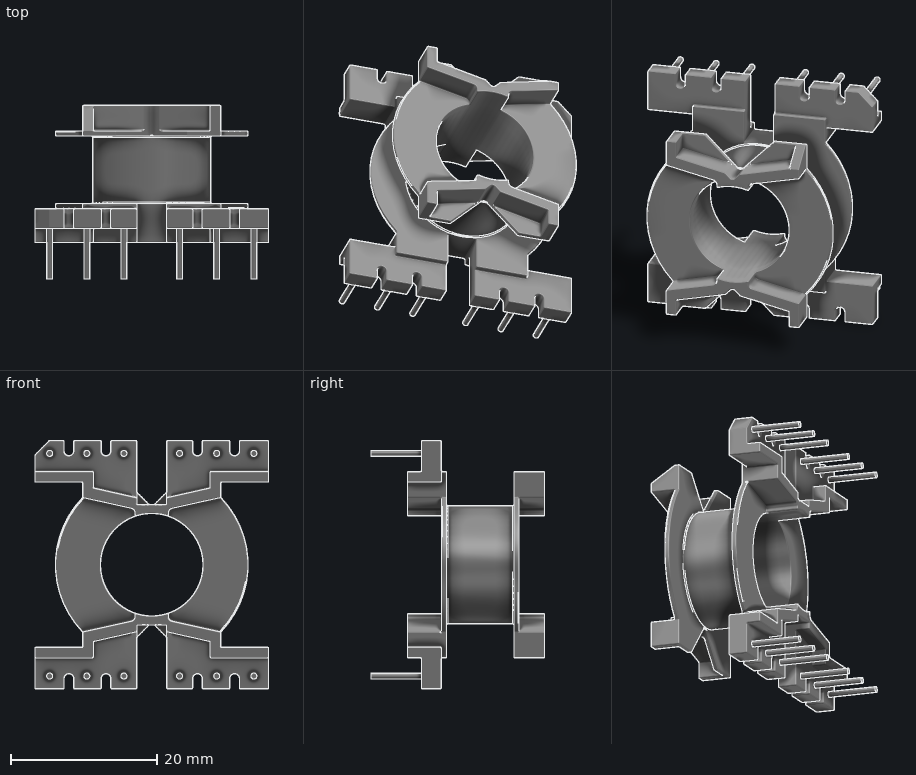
import cadquery as cq
import math


half_width = 15.997
half_height = 17.0
bore_radius = 7.0
barrel_radius = 8.1
winding_length = 9.2
flange_radius = 13.2
flange_thickness = 0.7
edge_round = 0.17

arm_half_width = 9.45
arm_top = 12.75
arm_wall = 1.45
arm_root = 2.28
arm_root_round = 0.68
arm_low_inner = 7.6
arm_floor_outer = 10.5
arm_floor_centre = 8.7
back_arm_depth = 3.5
front_arm_depth = 4.65

gap_half_width = 2.05
gap_floor = 8.23
rail_bottom = 11.3
rail_depth = 2.72
rail_corner_chamfer = 2.0

pin_radius = 0.4
pin_length = 6.95
pin_height = 15.23
pin_pitch = 5.08
pin_first = 3.8
pin_count = 3
slot_width = 1.3
slot_depth = 2.07
slot_first = 6.25
slot_count = pin_count - 1

notch_bottom = 7.9
notch_half_width = arm_top - notch_bottom
notch_round = 0.48

arm_low_outer = math.sqrt(flange_radius**2 - arm_half_width**2)
arm_inner = arm_half_width - arm_wall

back_inner = winding_length / 2
back_outer = back_inner + flange_thickness
back_end = back_outer + back_arm_depth
front_inner = -back_inner
front_outer = front_inner - flange_thickness
front_end = front_outer - front_arm_depth
rail_front = front_outer - rail_depth


def sketch():
    return cq.Workplane("XZ")


def slab(profile, y_start, y_end):
    """Extrude an XZ profile between two places along Y."""
    return profile.extrude(y_end - y_start).translate((0, y_end, 0))


def outline(points):
    return sketch().polyline(points).close()


def mirrored(points):
    """Close a right-hand outline with its reflection on the left."""
    return outline(points + [(-x, z) for x, z in reversed(points) if x > 0])


def above_and_below(solid):
    return solid.union(solid.mirror("XY"))


def bore(y_start, y_end):
    return slab(sketch().circle(bore_radius), y_start, y_end)


def barrel():
    """Tube let into both flanges, flared where it meets their inner faces."""
    reach = back_inner + edge_round
    tube = slab(sketch().circle(barrel_radius).circle(bore_radius), -reach, reach)
    flare_start = back_inner - edge_round
    bend = edge_round * (1 - math.sqrt(0.5))
    flare = (
        cq.Workplane("XY")
        .moveTo(-bore_radius, flare_start)
        .lineTo(-barrel_radius, flare_start)
        .threePointArc(
            (-barrel_radius - bend, back_inner - bend),
            (-barrel_radius - edge_round, back_inner),
        )
        .lineTo(-bore_radius, back_inner)
        .close()
        .revolve(360, (0, 0, 0), (0, 1, 0))
    )
    return tube.union(flare).union(flare.mirror("XZ"))


def flange(y_start, y_end):
    """Disc beside the barrel, squared off above and below to the size of the arms."""
    disc = slab(sketch().circle(flange_radius), y_start, y_end)
    band = slab(sketch().rect(2 * flange_radius, 2 * arm_low_outer), y_start, y_end)
    cheeks = slab(sketch().rect(2 * arm_half_width, 2 * arm_top), y_start, y_end)
    return disc.intersect(band).union(cheeks)


def arms(y_start, y_end, side_points):
    """Upper and lower arm: low over the bore, high at the two sides."""
    underside = [
        (arm_root, 0),
        (arm_root, arm_low_inner),
        (arm_half_width, arm_low_outer),
    ]
    floor = [
        (arm_inner, arm_top),
        (arm_inner, arm_floor_outer),
        (0, arm_floor_centre),
    ]
    arm = slab(mirrored(underside + side_points + floor), y_start, y_end)
    margin = 0.05
    roots = cq.selectors.BoxSelector(
        (-arm_root - margin, y_start, arm_low_inner - margin),
        (arm_root + margin, y_end, arm_low_inner + margin),
    )
    return above_and_below(arm.edges(roots).fillet(arm_root_round))


def notches():
    """V notches with a rounded bottom through the middle of both back arms."""
    profile = mirrored([(notch_half_width, arm_top), (0, notch_bottom)])
    notch = slab(profile, back_inner, back_end)
    return above_and_below(notch.edges("|Y and <Z").fillet(notch_round))


def arm_relief():
    """Wedge that slopes the top of the back arm's side at -X, +Z."""
    profile = [(back_outer, arm_top), (back_end, arm_top), (back_end, arm_floor_outer)]
    wedge = cq.Workplane("YZ").polyline(profile).close().extrude(arm_wall)
    return wedge.translate((-arm_half_width, 0, 0))


def back_plate():
    """Back flange with its arms."""
    sides = [(arm_half_width, arm_top)]
    plate = flange(back_inner, back_outer).union(arms(back_outer, back_end, sides))
    plate = plate.cut(notches()).cut(arm_relief()).cut(bore(back_inner, back_end))
    return plate.edges().fillet(edge_round)


def both_sides(first, pitch, count):
    """X places of a row that repeats at a pitch on both sides of the middle."""
    right = [first + i * pitch for i in range(count)]
    return right + [-x for x in right]


def wire_slots():
    """Round-bottomed slots open at the outer edge of an upper rail."""
    centre_z = half_height - slot_depth + slot_width / 2
    places = [(x, centre_z) for x in both_sides(slot_first, pin_pitch, slot_count)]
    bottoms = slab(sketch().pushPoints(places).circle(slot_width / 2), rail_front, front_outer)
    mouths = sketch().pushPoints(places).rect(slot_width, 2 * (half_height - centre_z))
    mouths = slab(mouths, rail_front, front_outer).translate((0, 0, half_height - centre_z))
    return bottoms.union(mouths)


def rails():
    """Two upper and two lower pin rails; the one at -X, +Z has a cut corner."""
    points = [
        (gap_half_width, gap_floor),
        (gap_half_width, half_height),
        (half_width, half_height),
        (half_width, rail_bottom),
        (arm_half_width, rail_bottom),
        (arm_half_width, arm_floor_outer),
    ]
    rail = slab(outline(points), rail_front, front_outer)
    upper = rail.union(rail.mirror("YZ")).cut(wire_slots())
    lower = upper.mirror("XY")
    upper = upper.edges("|Y").edges("<X").edges(">Z").chamfer(rail_corner_chamfer)
    return upper.union(lower)


def front_plate():
    """Front flange, rails and arms; the arm sides run out to the rail ends as ledges."""
    sides = [
        (arm_half_width, rail_bottom),
        (half_width, rail_bottom),
        (half_width, arm_top),
    ]
    plate = flange(front_outer, front_inner).union(arms(front_end, front_outer, sides))
    gap = mirrored([(gap_half_width, gap_floor), (gap_half_width, half_height)])
    plate = plate.cut(above_and_below(slab(gap, front_end, front_inner)))
    plate = plate.union(rails()).cut(bore(front_end, front_inner))
    return plate.edges().fillet(edge_round)


def pins():
    xs = both_sides(pin_first, pin_pitch, pin_count)
    places = [(x, z) for x in xs for z in (-pin_height, pin_height)]
    row = sketch().pushPoints(places).circle(pin_radius)
    return slab(row, rail_front - pin_length, rail_front)


result = barrel().union(back_plate()).union(front_plate()).union(pins())